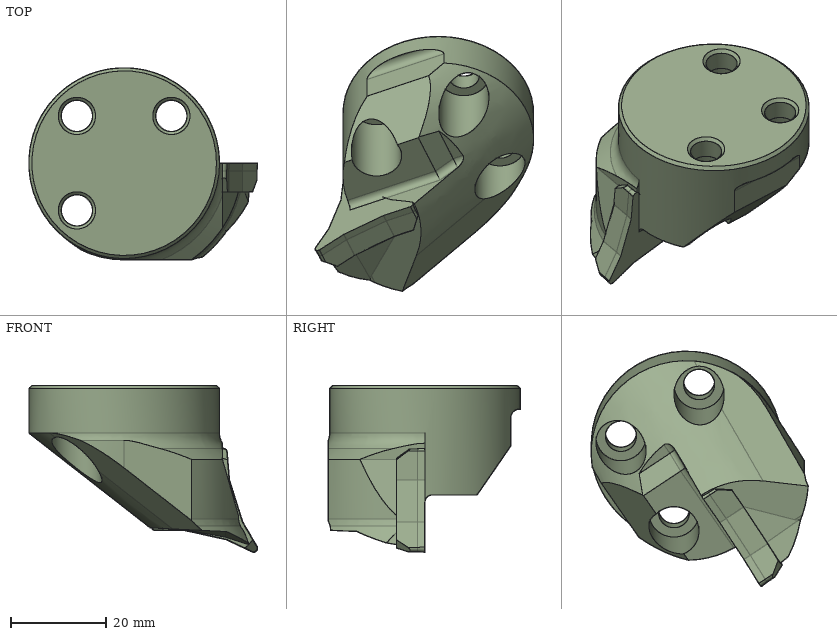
import cadquery as cq
import math


FLANGE_RADIUS = 20.0
FLANGE_BOTTOM = -10.0
FLANGE_CHAMFER = 0.65
HOLE_CIRCLE_RADIUS = 14.0
HOLE_ANGLES = (45, 135, 225)
HOLE_DIAMETER = 6.5
HOLE_CHAMFER = 0.65
HEAD_DIAMETER = 10.5
HEAD_SEAT_Z = -4.9

RELIEF_Y = 18.0
RELIEF_ROOF_Z = -5.0
RELIEF_FILLET = 1.8
RELIEF_SLOPE_TOP_Z = -12.7
RELIEF_SLOPE_END_Y = 10.9

CHIP_FLOOR_HIGH_Z = -20.7
CHIP_FLOOR_LOW_Z = -23.0
CHIP_RAMP_START_X = -4.0
CHIP_RAMP_END_X = 0.0
CHIP_FILLET = 1.5

FLAT_Y = -20.3
THROAT_FILLET = 4.0
SHOULDER_INNER_RADIUS = 21.7
SHOULDER_RADIUS = 24.7
SHOULDER_Z = -15.5
SKIRT_TOP_Z = -28.0
SKIRT_FILLET_END = (25.1, -29.5)
SKIRT_FILLET_MIDDLE = (24.87, -28.8)
SKIRT_BOTTOM_RADIUS = 28.5
SKIRT_BOTTOM_Z = -35.0
BLOCK_END_X = 20.6
BLOCK_KNEE = (24.2, -28.1)
BLOCK_TIP = (26.2, -33.4)
BLOCK_HEEL = (20.7, -30.6)
SUPPORT_HEEL = (21.2, -31.8)
SUPPORT_START = (12.4, -30.2)
SUPPORT_RISE = 0.15
BLOCK_BOTTOM_Z = -29.6

UNDERSIDE_SLOPE = 0.78
UNDERSIDE_TANGENT_Y = -12.5

INSERT_THICKNESS = 6.0
INSERT_CENTER = (18.15, -25.91)
INSERT_INSCRIBED_RADIUS = 5.6
INSERT_FIRST_NORMAL = 17.5
INSERT_CORNERS = 3
EDGE_MIDDLE_HALF = 4.6
EDGE_END_LENGTH = 6.12
EDGE_END_TURN = 12.8
LAND_THICKNESS = 1.6
LAND_TAPER = 4.0
CORNER_BULGE = 0.4
TIP_RADIUS = 13.2
TIP_RELIEF_DEPTH = 2.7
TIP_RELIEF = 2.3

REACH = 60.0
MARGIN = 2.0


def prism_along_y(points, start_y, end_y):
    """Extrude an (x, z) polygon between two Y planes."""
    sketch = cq.Workplane("XZ", origin=(0, start_y, 0)).polyline(points).close()
    return sketch.extrude(start_y - end_y)


def make_flange():
    flange = cq.Workplane("XY").circle(FLANGE_RADIUS).extrude(FLANGE_BOTTOM)
    return flange.faces(">Z").chamfer(FLANGE_CHAMFER)


def make_flared_block():
    """The -Y half of the tool block: a flared turned shape cut to its flat and its end."""
    throat_turn = math.acos(1 - (SHOULDER_INNER_RADIUS - FLANGE_RADIUS) / THROAT_FILLET)
    throat_middle = (
        FLANGE_RADIUS + THROAT_FILLET * (1 - math.cos(throat_turn / 2)),
        FLANGE_BOTTOM - THROAT_FILLET * math.sin(throat_turn / 2),
    )
    throat_end = (SHOULDER_INNER_RADIUS, FLANGE_BOTTOM - THROAT_FILLET * math.sin(throat_turn))
    turned = (
        cq.Workplane("XZ")
        .moveTo(0, FLANGE_BOTTOM)
        .lineTo(FLANGE_RADIUS, FLANGE_BOTTOM)
        .threePointArc(throat_middle, throat_end)
        .lineTo(SHOULDER_RADIUS, SHOULDER_Z)
        .lineTo(SHOULDER_RADIUS, SKIRT_TOP_Z)
        .threePointArc(SKIRT_FILLET_MIDDLE, SKIRT_FILLET_END)
        .lineTo(SKIRT_BOTTOM_RADIUS, SKIRT_BOTTOM_Z)
        .lineTo(0, SKIRT_BOTTOM_Z)
        .close()
        .revolve(360, (0, 0, 0), (0, 1, 0))
    )
    diagonal = FLAT_Y * math.sqrt(0.5)
    outline = (
        cq.Workplane("XY")
        .moveTo(FLAT_Y, 0)
        .threePointArc((diagonal, diagonal), (0, FLAT_Y))
        .lineTo(REACH, FLAT_Y)
        .lineTo(REACH, 0)
        .close()
        .extrude(-REACH)
    )
    side = prism_along_y(
        [
            (-REACH, FLANGE_BOTTOM),
            (BLOCK_END_X, FLANGE_BOTTOM),
            (BLOCK_END_X, SHOULDER_Z),
            BLOCK_KNEE,
            BLOCK_TIP,
            (-REACH, BLOCK_TIP[1]),
        ],
        -REACH,
        0,
    )
    base = prism_along_y(
        [
            (-REACH, FLANGE_BOTTOM),
            (REACH, FLANGE_BOTTOM),
            (REACH, BLOCK_HEEL[1]),
            BLOCK_HEEL,
            (0, BLOCK_BOTTOM_Z),
            (-REACH, BLOCK_BOTTOM_Z),
        ],
        -REACH,
        0,
    )
    blank = turned.intersect(outline).intersect(side)
    return blank.intersect(base).union(blank.intersect(make_support_envelope()))


def make_support_envelope():
    """Prism under the insert whose underside rises away from the cutting face."""
    wire = (
        cq.Workplane("XZ")
        .polyline(
            [
                SUPPORT_START,
                SUPPORT_HEEL,
                BLOCK_TIP,
                (BLOCK_TIP[0], SKIRT_TOP_Z),
                (SUPPORT_START[0], SKIRT_TOP_Z),
            ]
        )
        .close()
        .wire()
        .val()
    )
    length = -FLAT_Y
    sweep = cq.Vector(0, -length, SUPPORT_RISE * length)
    support = cq.Workplane(cq.Solid.extrudeLinear(wire, [], sweep))
    return support.translate((0, -INSERT_THICKNESS, 0))


def make_round_block():
    """The +Y half of the tool block, down to the chip space and with its sloping side."""
    column = cq.Workplane("XY").workplane(offset=FLANGE_BOTTOM).circle(FLANGE_RADIUS)
    column = column.extrude(BLOCK_BOTTOM_Z - FLANGE_BOTTOM)
    section = (
        cq.Workplane("YZ", origin=(-REACH, 0, 0))
        .moveTo(0, FLANGE_BOTTOM)
        .lineTo(RELIEF_Y, FLANGE_BOTTOM)
        .lineTo(RELIEF_Y, RELIEF_SLOPE_TOP_Z)
        .lineTo(RELIEF_SLOPE_END_Y, CHIP_FLOOR_LOW_Z)
        .lineTo(RELIEF_SLOPE_END_Y, BLOCK_BOTTOM_Z)
        .lineTo(0, BLOCK_BOTTOM_Z)
        .close()
        .extrude(2 * REACH)
    )
    chip_space = prism_along_y(
        [
            (-REACH, -REACH),
            (-REACH, CHIP_FLOOR_HIGH_Z),
            (CHIP_RAMP_START_X, CHIP_FLOOR_HIGH_Z),
            (CHIP_RAMP_END_X, CHIP_FLOOR_LOW_Z),
            (REACH, CHIP_FLOOR_LOW_Z),
            (REACH, -REACH),
        ],
        0,
        REACH,
    )
    floor_corner = cq.selectors.BoxSelector(
        (-REACH, -MARGIN, CHIP_FLOOR_LOW_Z - MARGIN),
        (REACH, MARGIN, CHIP_FLOOR_HIGH_Z + MARGIN),
    )
    chip_space = chip_space.edges(floor_corner).fillet(CHIP_FILLET)
    return column.intersect(section).cut(chip_space)


def make_underside_envelope():
    """Slanted prism that holds the block above its underside; round, then flat on the -Y side."""
    tangent_x = -math.sqrt(FLANGE_RADIUS**2 - UNDERSIDE_TANGENT_Y**2)
    flat_end_y = FLAT_Y - MARGIN
    flat_end_x = (FLANGE_RADIUS**2 - UNDERSIDE_TANGENT_Y * flat_end_y) / tangent_x
    wire = (
        cq.Workplane("XY", origin=(0, 0, FLANGE_BOTTOM))
        .moveTo(0, FLANGE_RADIUS)
        .threePointArc((-FLANGE_RADIUS, 0), (tangent_x, UNDERSIDE_TANGENT_Y))
        .lineTo(flat_end_x, flat_end_y)
        .lineTo(REACH, flat_end_y)
        .lineTo(REACH, FLANGE_RADIUS)
        .close()
        .wire()
        .val()
    )
    sweep = cq.Vector(REACH, 0, -UNDERSIDE_SLOPE * REACH)
    return cq.Workplane(cq.Solid.extrudeLinear(wire, [], sweep))


def make_side_relief():
    """Cut beyond the +Y side, with a rounded corner under the flange rim."""
    relief = cq.Workplane("XY").box(2 * REACH, REACH, REACH, centered=(True, False, False))
    relief = relief.translate((0, RELIEF_Y, RELIEF_ROOF_Z - REACH))
    return relief.edges("<Y and >Z").fillet(RELIEF_FILLET)


def make_screw_hole(angle):
    """Through hole, chamfered at the top, with a screw head space open to the underside."""
    radius = HOLE_DIAMETER / 2
    hole = (
        cq.Workplane("XZ")
        .moveTo(0, 0)
        .lineTo(radius + HOLE_CHAMFER, 0)
        .lineTo(radius, -HOLE_CHAMFER)
        .lineTo(radius, HEAD_SEAT_Z)
        .lineTo(HEAD_DIAMETER / 2, HEAD_SEAT_Z)
        .lineTo(HEAD_DIAMETER / 2, -REACH)
        .lineTo(0, -REACH)
        .close()
        .revolve(360, (0, 0, 0), (0, 1, 0))
    )
    return hole.translate((HOLE_CIRCLE_RADIUS, 0, 0)).rotate((0, 0, 0), (0, 0, 1), angle)


def insert_point(out, along, normal_degrees):
    """Point (x, z) at a distance out from the insert's center and along one of its edges."""
    normal = math.radians(normal_degrees)
    return (
        INSERT_CENTER[0] + out * math.cos(normal) - along * math.sin(normal),
        INSERT_CENTER[1] + out * math.sin(normal) + along * math.cos(normal),
    )


def insert_outline():
    """Outline of the insert: hollow edges of three straight parts, joined by rounded corners."""
    turn = math.radians(EDGE_END_TURN)
    end_along = EDGE_MIDDLE_HALF + EDGE_END_LENGTH * math.cos(turn)
    end_out = INSERT_INSCRIBED_RADIUS + EDGE_END_LENGTH * math.sin(turn)
    corner_step = 360 / INSERT_CORNERS
    half_step = math.radians(corner_step / 2)
    corner_out = end_out * math.cos(half_step) + end_along * math.sin(half_step) + CORNER_BULGE

    outline = cq.Workplane("XZ").moveTo(*insert_point(end_out, -end_along, INSERT_FIRST_NORMAL))
    for corner in range(INSERT_CORNERS):
        normal = INSERT_FIRST_NORMAL + corner * corner_step
        outline = (
            outline.lineTo(*insert_point(INSERT_INSCRIBED_RADIUS, -EDGE_MIDDLE_HALF, normal))
            .lineTo(*insert_point(INSERT_INSCRIBED_RADIUS, EDGE_MIDDLE_HALF, normal))
            .lineTo(*insert_point(end_out, end_along, normal))
            .threePointArc(
                insert_point(corner_out, 0, normal + corner_step / 2),
                insert_point(end_out, -end_along, normal + corner_step),
            )
        )
    return outline.close()


def make_insert():
    """Plate with a tapered land at its cutting face and tips relieved conically to the back."""
    land = insert_outline().extrude(LAND_THICKNESS, taper=LAND_TAPER)
    plate = land.faces("<Y").wires().toPending().extrude(INSERT_THICKNESS - LAND_THICKNESS)
    tip_envelope = (
        cq.Workplane("XY")
        .polyline(
            [
                (0, 0),
                (TIP_RADIUS, 0),
                (TIP_RADIUS, -TIP_RELIEF_DEPTH),
                (TIP_RADIUS - TIP_RELIEF, -INSERT_THICKNESS),
                (0, -INSERT_THICKNESS),
            ]
        )
        .close()
        .revolve(360, (0, 0, 0), (0, 1, 0))
        .translate((INSERT_CENTER[0], 0, INSERT_CENTER[1]))
    )
    return plate.intersect(tip_envelope)


def make_head(insert):
    block = make_flared_block().union(make_round_block())
    block = block.intersect(make_underside_envelope())
    head = make_flange().union(block).cut(make_side_relief())
    for angle in HOLE_ANGLES:
        head = head.cut(make_screw_hole(angle))
    return head.cut(insert)


insert = make_insert()
head = make_head(insert)

result = cq.Compound.makeCompound([head.val(), insert.val()])